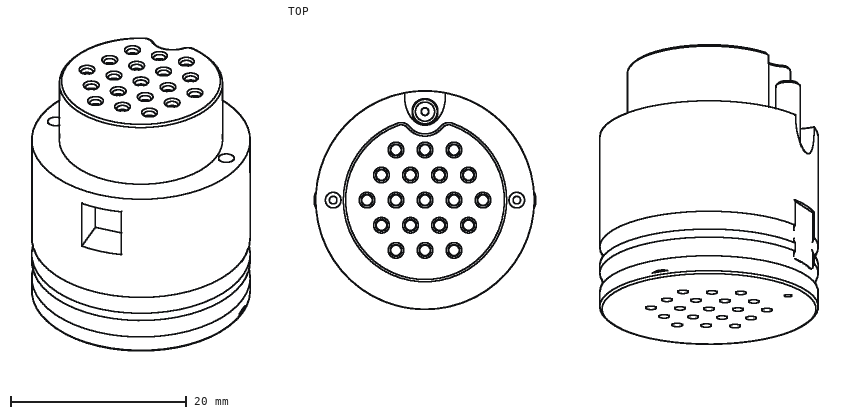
import cadquery as cq
import math

total_height = 28.7
shoulder_z = 20.75
body_radius = 24.88 / 2
plug_radius = 9.3
rim_chamfer = 0.25

groove_depth = 0.3
groove_spans = [(2.07, 4.3), (5.28, 7.43)]

contact_pitch = 3.3
contact_row_counts = [3, 4, 5, 4, 3]
contact_diameter = 1.2
contact_mouth_diameter = 1.78
contact_mouth_depth = 0.25
contact_throat_diameter = 1.32
contact_throat_depth = 0.8

pin_y = 10.07
pin_diameter = 2.78
pin_top_z = 25.57
pin_tip_diameter = 2.18
pin_bore_diameter = 0.83
pin_clearance_diameter = 2.95
pin_seat_z = 13.12

key_radius = 4.55 / 2
key_y = 9.82
key_edge_fillet = 1.2

scoop_radius = 2.32
scoop_inner_y = 8.52

opening_width = 4.85

window_bottom_z = 13.12
window_top_z = 18.9
window_back_y = -7.98
window_step_z = 17.62
window_step = 0.32

recess_bottom_z = 3.53
recess_top_z = 10.48
recess_floor_y = 12.0

side_axis_x = 10.45
side_hole_diameter = 1.78
side_tip_diameter = 0.85
side_hole_depth = 2.3
lip_radius = 2.18
lip_z = 0.6


def make_body():
    body = cq.Workplane("XY").circle(body_radius).extrude(shoulder_z)
    return body.faces("<Z").edges().chamfer(rim_chamfer)


def make_groove(bottom_z, top_z):
    """Ring with a circular-arc section that hollows the body wall."""
    profile = (
        cq.Workplane("XZ")
        .moveTo(body_radius, bottom_z)
        .threePointArc((body_radius - groove_depth, (bottom_z + top_z) / 2), (body_radius, top_z))
        .close()
    )
    return profile.revolve(360, (0, 0, 0), (0, 1, 0))


def make_plug():
    """Round plug with a rounded key channel and a chamfered top rim."""
    plug_height = total_height - shoulder_z
    plug = cq.Workplane("XY", origin=(0, 0, shoulder_z)).circle(plug_radius).extrude(plug_height)
    channel = cq.Workplane("XY", origin=(0, key_y, shoulder_z)).circle(key_radius).extrude(plug_height)
    plug = plug.cut(channel)
    channel_edges = cq.selectors.BoxSelector(
        (-key_radius, key_y - key_radius, shoulder_z),
        (key_radius, key_y + key_radius, total_height),
    )
    plug = plug.edges("|Z").edges(channel_edges).fillet(key_edge_fillet)
    return plug.faces(">Z").edges().chamfer(rim_chamfer)


def make_scoop():
    """Cylinder that leans outward, with its lowest line starting at scoop_inner_y on the shoulder."""
    axis_y = scoop_inner_y + scoop_radius * math.sqrt(2)
    plane = cq.Plane(origin=(0, axis_y, shoulder_z), xDir=(1, 0, 0), normal=(0, 1, -1))
    return cq.Workplane(plane).circle(scoop_radius).extrude(body_radius, both=True)


def make_window():
    """Pocket whose back wall steps deeper above a sloping ledge."""
    mouth_y = -body_radius
    upper_back_y = window_back_y + window_step
    profile = cq.Workplane("YZ").polyline([
        (mouth_y, window_bottom_z),
        (window_back_y, window_bottom_z),
        (window_back_y, window_step_z),
        (upper_back_y, window_step_z + window_step),
        (upper_back_y, window_top_z),
        (mouth_y, window_top_z),
    ]).close()
    return profile.extrude(opening_width / 2, both=True)


def make_recess():
    """Flat-floored cut that also crosses the ring grooves."""
    thickness = body_radius - recess_floor_y
    return cq.Workplane("XY").box(
        opening_width, thickness, recess_top_z - recess_bottom_z, centered=(True, False, False)
    ).translate((0, recess_floor_y, recess_bottom_z))


def contact_points():
    row_pitch = contact_pitch * math.sqrt(3) / 2
    middle_row = (len(contact_row_counts) - 1) / 2
    return [
        ((column - (count - 1) / 2) * contact_pitch, (row - middle_row) * row_pitch)
        for row, count in enumerate(contact_row_counts)
        for column in range(count)
    ]


def make_contact_hole(x, y):
    """Through hole with a slightly wider throat and a conical mouth at the top."""
    contact_radius = contact_diameter / 2
    throat_radius = contact_throat_diameter / 2
    profile = cq.Workplane("XZ").polyline([
        (0, 0),
        (contact_radius, 0),
        (contact_radius, total_height - contact_throat_depth),
        (throat_radius, total_height - contact_throat_depth),
        (throat_radius, total_height - contact_mouth_depth),
        (contact_mouth_diameter / 2, total_height),
        (0, total_height),
    ]).close()
    return profile.revolve(360, (0, 0, 0), (0, 1, 0)).translate((x, y, 0))


def make_side_hole(x):
    """Blind hole whose floor rises in the middle as a blunt 45-degree cone."""
    cone_height = (side_hole_diameter - side_tip_diameter) / 2
    hole = cq.Workplane("XY", origin=(x, 0, shoulder_z)).circle(side_hole_diameter / 2)
    hole = hole.extrude(-side_hole_depth)
    cone = cq.Solid.makeCone(
        side_hole_diameter / 2, side_tip_diameter / 2, cone_height,
        pnt=cq.Vector(x, 0, shoulder_z - side_hole_depth),
    )
    return hole.cut(cq.Workplane(cone))


def make_lip(x):
    """Low 45-degree cone of which only a thin crescent stands out of the body."""
    return cq.Workplane(cq.Solid.makeCone(lip_radius, 0, lip_radius, pnt=cq.Vector(x, 0, lip_z)))


def make_pin_socket():
    """Bore that leaves a narrow ring gap around the guide pin."""
    socket = cq.Workplane("XY", origin=(0, pin_y, pin_seat_z)).circle(pin_clearance_diameter / 2)
    return socket.extrude(shoulder_z - pin_seat_z)


def make_pin():
    pin = cq.Workplane("XY", origin=(0, pin_y, pin_seat_z)).circle(pin_diameter / 2)
    pin = pin.extrude(pin_top_z - pin_seat_z)
    tip_chamfer = (pin_diameter - pin_tip_diameter) / 2
    return pin.faces(">Z").edges().chamfer(tip_chamfer)


def make_pin_bore():
    return cq.Workplane("XY").center(0, pin_y).circle(pin_bore_diameter / 2).extrude(total_height)


result = make_body()
for span in groove_spans:
    result = result.cut(make_groove(*span))
result = result.cut(make_scoop()).cut(make_window()).cut(make_recess())
result = result.cut(make_pin_socket())
for side in (-1, 1):
    result = result.cut(make_side_hole(side * side_axis_x))
    result = result.union(make_lip(side * side_axis_x))
result = result.union(make_plug()).union(make_pin())

for x, y in contact_points():
    result = result.cut(make_contact_hole(x, y))
result = result.cut(make_pin_bore())